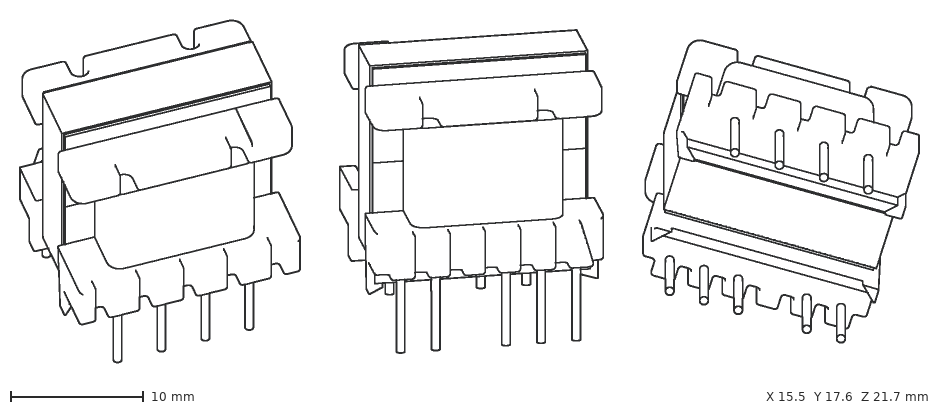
import cadquery as cq


CORE_HALF_X = 2.5
CORE_HALF_Y = 8.2
CORE_BOTTOM = 6.39
CORE_TOP = 21.55
CORE_MID = (CORE_BOTTOM + CORE_TOP) / 2
BACK_THICKNESS = 2.59
WINDOW_HALF_Y = 5.85
LEG_HALF_Y = CORE_HALF_Y - WINDOW_HALF_Y
WINDOW_BOTTOM = CORE_BOTTOM + BACK_THICKNESS
WINDOW_TOP = CORE_TOP - BACK_THICKNESS

TAPE_THICKNESS = 0.17
TAPE_HALF_X = 2.24

COIL_HALF_X = 6.35
COIL_CORNER = 1.05
COIL_BOTTOM = 9.95
COIL_TOP = 2 * CORE_MID - COIL_BOTTOM

TUBE_WALL = 0.55
TUBE_HALF_X = CORE_HALF_X + TUBE_WALL
TUBE_HALF_Y = LEG_HALF_Y + TUBE_WALL

EDGE_RADIUS = 0.25
BOBBIN_HALF_Y = 17.62 / 2
FLANGE_OUTER_X = 6.5
FLANGE_TOP = 20.3
FLANGE_LOW_TOP = 20.15
FLANGE_CORNER = 1.0
NOTCH_Y = 4.41
NOTCH_RADIUS = 0.67
NOTCH_DEPTH = 2.0

BLOCK_OUTER_X = 6.4
BLOCK_BOTTOM = 6.35
POST_OUTER_X = 7.74
POST_ROOT_X = BLOCK_OUTER_X - 2 * EDGE_RADIUS
FOOT_BOTTOM = 4.02
WALL_BOTTOM = 4.7
WALL_OUTER_X = 3.72
WALL_HALF_Y = 8.28
FOOT_OUTER_X = 4.25
FOOT_INNER_X = 2.98
FOOT_EDGE_RADIUS = 0.09
SLOPE_EDGE_RADIUS = 0.17

NARROW_PITCH = 2.7
NARROW_GROOVE = 1.0
END_POST_TOP_Y = 6.85
END_POST_BOTTOM_Y = 7.87
WIDE_PITCH = 3.5
WIDE_GROOVE = 0.95
POST_STEPS = (-1.5, -0.5, 0.5, 1.5)

PIN_RADIUS = 0.33
PIN_X = 6.08
PIN_TOP = (BLOCK_BOTTOM + COIL_BOTTOM) / 2
FIVE_PIN_STEPS = (-2.5, -1.5, -0.5, 1.5, 2.5)
FOUR_PIN_STEPS = (-1.5, -0.5, 0.5, 1.5)


def centred_box(half_x, half_y, z_bottom, z_top):
    """Box centred on the Z axis between two heights."""
    return (
        cq.Workplane("XY")
        .workplane(offset=z_bottom)
        .rect(2 * half_x, 2 * half_y)
        .extrude(z_top - z_bottom)
    )


def box_between(x_range, y_range, z_range):
    """Box spanning the given (low, high) ranges."""
    size = [high - low for low, high in (x_range, y_range, z_range)]
    return cq.Workplane("XY").box(*size, centered=False).translate((x_range[0], y_range[0], z_range[0]))


def make_core_half(z_outer, z_window):
    """E-shaped half core from its outer face at z_outer to the joint at mid height."""
    points = [
        (-CORE_HALF_Y, z_outer),
        (CORE_HALF_Y, z_outer),
        (CORE_HALF_Y, CORE_MID),
        (WINDOW_HALF_Y, CORE_MID),
        (WINDOW_HALF_Y, z_window),
        (LEG_HALF_Y, z_window),
        (LEG_HALF_Y, CORE_MID),
        (-LEG_HALF_Y, CORE_MID),
        (-LEG_HALF_Y, z_window),
        (-WINDOW_HALF_Y, z_window),
        (-WINDOW_HALF_Y, CORE_MID),
        (-CORE_HALF_Y, CORE_MID),
    ]
    return cq.Workplane("YZ").polyline(points).close().extrude(CORE_HALF_X, both=True)


def make_tape():
    """Band around the ends, top and bottom of the core."""
    outer = centred_box(
        TAPE_HALF_X, CORE_HALF_Y + TAPE_THICKNESS, CORE_BOTTOM - TAPE_THICKNESS, CORE_TOP + TAPE_THICKNESS
    )
    return outer.cut(centred_box(TAPE_HALF_X, CORE_HALF_Y, CORE_BOTTOM, CORE_TOP))


def make_coil():
    """Rounded winding with a rectangular bore for the bobbin tube."""
    outer = centred_box(COIL_HALF_X, WINDOW_HALF_Y, COIL_BOTTOM, COIL_TOP).edges("|Z").fillet(COIL_CORNER)
    return outer.cut(centred_box(TUBE_HALF_X, TUBE_HALF_Y, COIL_BOTTOM, COIL_TOP))


def make_flange(outer_top):
    """Upper flange on the +X side, its top falling to outer_top at the outer edge, with two notches."""
    points = [
        (CORE_HALF_X, COIL_TOP),
        (FLANGE_OUTER_X, COIL_TOP),
        (FLANGE_OUTER_X, outer_top),
        (CORE_HALF_X, FLANGE_TOP),
    ]
    flange = cq.Workplane("XZ").polyline(points).close().extrude(BOBBIN_HALF_Y, both=True)
    flange = flange.edges("|Z and >X").fillet(FLANGE_CORNER)
    notch_centre_x = FLANGE_OUTER_X - NOTCH_DEPTH + NOTCH_RADIUS
    for y in (-NOTCH_Y, NOTCH_Y):
        slot = box_between(
            (notch_centre_x, POST_OUTER_X), (y - NOTCH_RADIUS, y + NOTCH_RADIUS), (COIL_TOP, FLANGE_TOP)
        )
        round_end = (
            cq.Workplane("XY", origin=(notch_centre_x, y, COIL_TOP))
            .circle(NOTCH_RADIUS)
            .extrude(FLANGE_TOP - COIL_TOP)
        )
        flange = flange.cut(slot).cut(round_end)
    mouth_y = NOTCH_Y + 2 * NOTCH_RADIUS
    mouths = cq.selectors.BoxSelector(
        (FLANGE_OUTER_X - EDGE_RADIUS / 2, -mouth_y, COIL_TOP), (POST_OUTER_X, mouth_y, FLANGE_TOP)
    )
    flange = flange.edges("|Z").edges(mouths).fillet(EDGE_RADIUS)
    flange = flange.edges("|Z and <X").fillet(EDGE_RADIUS)
    return flange.faces("<Z or >Z").edges().fillet(EDGE_RADIUS)


def make_stepped_flange():
    """Flange with a falling top, except for a level stretch beyond the +Y notch."""
    level_zone = box_between(
        (CORE_HALF_X, FLANGE_OUTER_X),
        (NOTCH_Y + NOTCH_RADIUS + EDGE_RADIUS, BOBBIN_HALF_Y),
        (COIL_TOP, FLANGE_TOP),
    )
    level_part = make_flange(FLANGE_TOP).intersect(level_zone)
    return make_flange(FLANGE_LOW_TOP).cut(level_zone).union(level_part)


def make_post(side_profile):
    """Post on the outer face of a +X pin block, from its (Y, Z) profile."""
    post = cq.Workplane("YZ").polyline(side_profile).close().extrude(POST_OUTER_X - POST_ROOT_X)
    return post.translate((POST_ROOT_X, 0, 0))


def make_row_of_posts(y_centres, width):
    """Upright posts of equal width."""
    return [
        make_post(
            [
                (y - width / 2, BLOCK_BOTTOM),
                (y + width / 2, BLOCK_BOTTOM),
                (y + width / 2, COIL_BOTTOM),
                (y - width / 2, COIL_BOTTOM),
            ]
        )
        for y in y_centres
    ]


def make_end_posts(inner_y, outer_top_y, outer_bottom_y):
    """Mirrored pair of end posts whose outer sides may slope."""
    return [
        make_post(
            [
                (end * inner_y, BLOCK_BOTTOM),
                (end * outer_bottom_y, BLOCK_BOTTOM),
                (end * outer_top_y, COIL_BOTTOM),
                (end * inner_y, COIL_BOTTOM),
            ]
        )
        for end in (-1, 1)
    ]


def make_narrow_posts():
    """Six posts with five grooves between them."""
    width = NARROW_PITCH - NARROW_GROOVE
    row = make_row_of_posts([step * NARROW_PITCH for step in POST_STEPS], width)
    end_inner_y = 2 * NARROW_PITCH + NARROW_GROOVE / 2
    return row + make_end_posts(end_inner_y, END_POST_TOP_Y, END_POST_BOTTOM_Y)


def make_wide_posts():
    """Six posts with five grooves between them, the end posts flush with the block ends."""
    width = WIDE_PITCH - WIDE_GROOVE
    row = make_row_of_posts([step * WIDE_PITCH for step in POST_STEPS], width)
    end_inner_y = 2 * WIDE_PITCH + WIDE_GROOVE / 2
    return row + make_end_posts(end_inner_y, BOBBIN_HALF_Y, BOBBIN_HALF_Y)


def make_foot(end):
    """Triangular foot in the inner corner of a +X pin block, at the end where Y has the sign given."""
    end_y = end * BOBBIN_HALF_Y
    points = [
        (CORE_HALF_X, end_y),
        (FOOT_OUTER_X, end_y),
        (CORE_HALF_X, end_y - end * (FOOT_OUTER_X - CORE_HALF_X)),
    ]
    foot = (
        cq.Workplane("XY", origin=(0, 0, FOOT_BOTTOM))
        .polyline(points)
        .close()
        .extrude(COIL_BOTTOM - EDGE_RADIUS - FOOT_BOTTOM)
    )
    foot = foot.edges("|Z and >X").fillet(FOOT_EDGE_RADIUS)
    return foot.faces("<Z").edges("not <X").fillet(FOOT_EDGE_RADIUS)


def make_sloped_envelope():
    """Outer limits of a +X pin block: its inner face leans away from the core, with rounded end edges."""
    points = [
        (CORE_HALF_X, COIL_BOTTOM),
        (FOOT_INNER_X, FOOT_BOTTOM),
        (POST_OUTER_X, FOOT_BOTTOM),
        (POST_OUTER_X, COIL_BOTTOM),
    ]
    envelope = cq.Workplane("XZ").polyline(points).close().extrude(BOBBIN_HALF_Y, both=True)
    return envelope.faces("<X").edges("not |Y").fillet(SLOPE_EDGE_RADIUS)


def make_pin_block(posts):
    """Pin block on the +X side with its posts, feet and the low wall between the feet."""
    block = box_between(
        (CORE_HALF_X, BLOCK_OUTER_X), (-BOBBIN_HALF_Y, BOBBIN_HALF_Y), (BLOCK_BOTTOM, COIL_BOTTOM)
    )
    for post in posts:
        block = block.union(post)

    outer_x = BLOCK_OUTER_X - EDGE_RADIUS / 2
    short_of_ends = BOBBIN_HALF_Y - EDGE_RADIUS / 2
    post_sides = cq.selectors.BoxSelector(
        (outer_x, -short_of_ends, BLOCK_BOTTOM), (POST_OUTER_X + 0.22, short_of_ends, COIL_BOTTOM)
    )
    block = block.edges(post_sides).edges("not(#Z or |X)").fillet(EDGE_RADIUS)

    outer_side = cq.selectors.BoxSelector(
        (outer_x, -short_of_ends, BLOCK_BOTTOM - 0.22), (POST_OUTER_X + 0.22, short_of_ends, COIL_BOTTOM + 0.22)
    )
    top_rim = block.faces(">Z").edges(outer_side)
    bottom_rim = block.faces("<Z").edges("not <X")
    end_corners = block.faces("<Y or >Y").edges("|Z and >X")
    block = block.newObject(top_rim.vals() + bottom_rim.vals() + end_corners.vals()).fillet(EDGE_RADIUS)

    wall = box_between(
        (CORE_HALF_X, WALL_OUTER_X), (-WALL_HALF_Y, WALL_HALF_Y), (WALL_BOTTOM, COIL_BOTTOM - EDGE_RADIUS)
    )
    block = block.union(wall)
    for end in (-1, 1):
        block = block.union(make_foot(end))
    return block.intersect(make_sloped_envelope())


def make_pins(x, y_places):
    """Round pins standing up into a pin block."""
    return cq.Workplane("XY").pushPoints([(x, y) for y in y_places]).circle(PIN_RADIUS).extrude(PIN_TOP)


def make_bobbin():
    """One moulding: flanges, pin blocks, end plates inside the core window, tube and pins."""
    bobbin = centred_box(TUBE_HALF_X, TUBE_HALF_Y, WINDOW_BOTTOM, WINDOW_TOP)
    bobbin = bobbin.union(centred_box(TUBE_HALF_X, WINDOW_HALF_Y, COIL_TOP, WINDOW_TOP))
    bobbin = bobbin.union(centred_box(TUBE_HALF_X, WINDOW_HALF_Y, WINDOW_BOTTOM, COIL_BOTTOM))
    bobbin = bobbin.cut(centred_box(CORE_HALF_X, LEG_HALF_Y, WINDOW_BOTTOM, WINDOW_TOP))

    bobbin = bobbin.union(make_stepped_flange())
    bobbin = bobbin.union(make_flange(FLANGE_LOW_TOP).mirror("YZ"))
    bobbin = bobbin.union(make_pin_block(make_wide_posts()))
    bobbin = bobbin.union(make_pin_block(make_narrow_posts()).mirror("YZ"))

    bobbin = bobbin.union(make_pins(-PIN_X, [step * NARROW_PITCH for step in FIVE_PIN_STEPS]))
    return bobbin.union(make_pins(PIN_X, [step * WIDE_PITCH for step in FOUR_PIN_STEPS]))


lower_core = make_core_half(CORE_BOTTOM, WINDOW_BOTTOM)
upper_core = make_core_half(CORE_TOP, WINDOW_TOP)
tape = make_tape()
coil = make_coil()
bobbin = make_bobbin()

result = cq.Compound.makeCompound(
    [lower_core.val(), upper_core.val(), tape.val(), coil.val(), bobbin.val()]
)